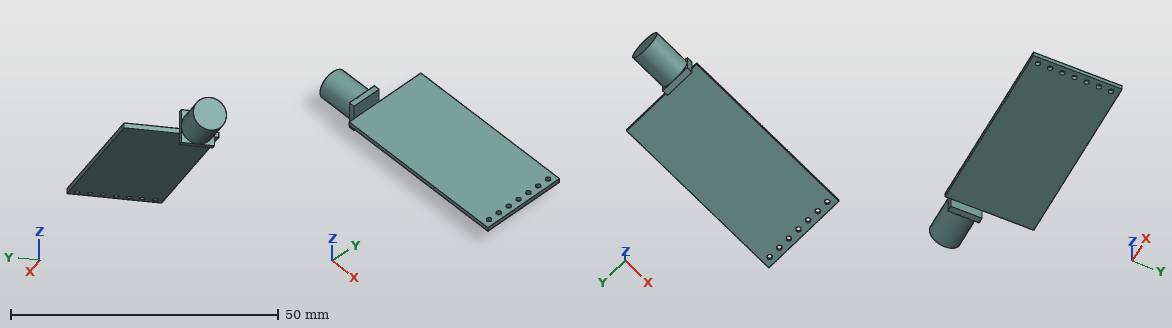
import cadquery as cq

total_length = 47.0

barrel_diameter = 6.5
barrel_length = 8.0
flange_thickness = 1.25
flange_width = 6.5
flange_height = 6.55

board_width = 18.45
board_thickness = 1.0
board_start = barrel_length + flange_thickness
board_length = total_length - board_start
board_bottom = -1.05

axis_to_near_edge = 4.45
board_center_y = board_width / 2 - axis_to_near_edge

hole_count = 7
hole_diameter = 1.0
hole_pitch = 2.55
hole_end_margin = 1.4


def make_barrel():
    return cq.Workplane("YZ").circle(barrel_diameter / 2).extrude(barrel_length)


def make_flange():
    return (
        cq.Workplane("YZ", origin=(barrel_length, 0, 0))
        .rect(flange_width, flange_height)
        .extrude(flange_thickness)
    )


def make_board():
    board = (
        cq.Workplane("XY", origin=(board_start, board_center_y, board_bottom))
        .rect(board_length, board_width)
        .extrude(board_thickness)
        .translate((board_length / 2, 0, 0))
    )
    holes = (
        cq.Workplane("XY", origin=(total_length - hole_end_margin, board_center_y, board_bottom))
        .rarray(0.45, hole_pitch, 1, hole_count)
        .circle(hole_diameter / 2)
        .extrude(board_thickness)
    )
    return board.cut(holes)


result = make_board().union(make_flange()).union(make_barrel())